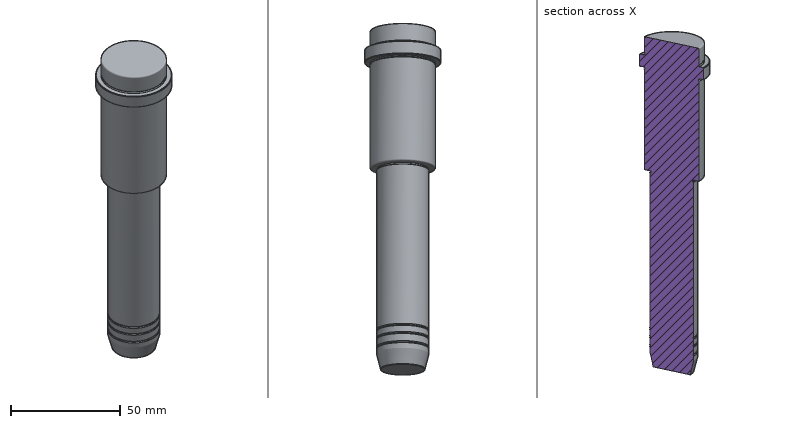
import cadquery as cq

total_height = 160.0
body_diameter = 30.0
collar_diameter = 35.0
pin_diameter = 24.0
tip_diameter = 20.5

collar_bottom = 145.0
collar_top = 151.0
body_bottom = 95.0
taper_height = 7.2

body_edge_radius = 0.6
collar_edge_chamfer = 0.3
tip_chamfer = 0.3

collar_relief_width = 1.0
collar_relief_depth = 0.5
neck_width = 0.8
neck_depth = 0.5

groove_heights = (10.2, 14.5, 18.4)
groove_width = 1.0
groove_depth = 0.3


def cylinder(diameter, bottom, top):
    return cq.Workplane("XY").workplane(offset=bottom).circle(diameter / 2).extrude(top - bottom)


def ring_groove(diameter, depth, bottom, width):
    """Ring-shaped cutter that sinks a square groove into a cylinder of the given diameter."""
    return (
        cq.Workplane("XY")
        .workplane(offset=bottom)
        .circle(diameter / 2 + depth)
        .circle(diameter / 2 - depth)
        .extrude(width)
    )


def vee_groove(diameter, depth, bottom, width):
    """Diamond-section ring that sinks a V groove into a cylinder of the given diameter."""
    radius = diameter / 2
    middle = bottom + width / 2
    section = cq.Workplane("XZ").polyline([
        (radius, bottom),
        (radius + depth, middle),
        (radius, bottom + width),
        (radius - depth, middle),
    ]).close()
    return section.revolve(360, (0, 0, 0), (0, 1, 0))


def tapered_pin():
    """Pin shaft whose lower end narrows to a chamfered tip."""
    pin_radius = pin_diameter / 2
    tip_radius = tip_diameter / 2
    profile = (
        cq.Workplane("XZ")
        .moveTo(0, 0)
        .lineTo(tip_radius - tip_chamfer, 0)
        .lineTo(tip_radius, tip_chamfer)
        .lineTo(pin_radius, taper_height)
        .lineTo(pin_radius, body_bottom)
        .lineTo(0, body_bottom)
        .close()
    )
    pin = profile.revolve(360, (0, 0, 0), (0, 1, 0))
    for height in groove_heights:
        pin = pin.cut(vee_groove(pin_diameter, groove_depth, height - groove_width / 2, groove_width))
    return pin.cut(ring_groove(pin_diameter, neck_depth, body_bottom - neck_width, neck_width))


def relieved_body():
    """Thick upper body with a relief on each side of the collar."""
    body = cylinder(body_diameter, body_bottom, total_height)
    body = body.faces("<Z or >Z").edges().fillet(body_edge_radius)
    for bottom in (collar_bottom - collar_relief_width, collar_top):
        body = body.cut(vee_groove(body_diameter, collar_relief_depth, bottom, collar_relief_width))
    return body


collar = cylinder(collar_diameter, collar_bottom, collar_top)
collar = collar.faces("<Z or >Z").edges().chamfer(collar_edge_chamfer)

result = tapered_pin().union(relieved_body()).union(collar)